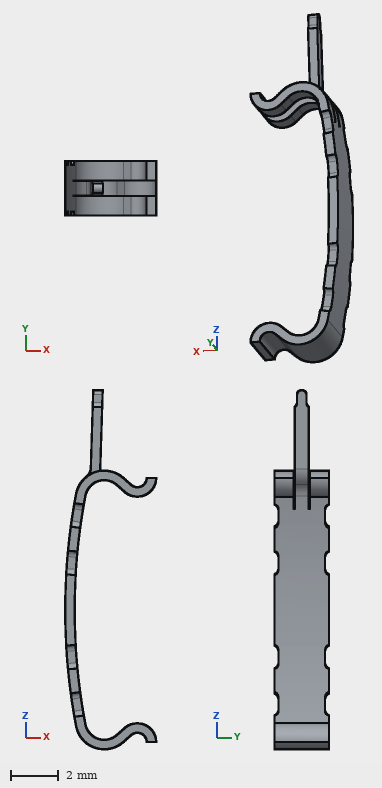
import cadquery as cq
import math

thickness = 0.41
width = 2.3
half_height = 5.86
depth = 3.84
total_height = 15.1

bend_outer = 1.21
bend_inner = bend_outer - thickness
bend_x = 1.65
bend_z = half_height - bend_outer
lip_inner = 0.4
lip_outer = lip_inner + thickness
lip_x = depth - lip_outer
lip_z = 5.55

back_outer = (bend_x**2 + bend_z**2 - bend_outer**2) / (2 * (bend_x - bend_outer))
back_inner = back_outer - thickness
join_angle = 180 - math.degrees(math.asin(bend_z / (back_outer - bend_outer)))

center_gap = math.hypot(lip_x - bend_x, lip_z - bend_z)
web_angle = math.degrees(
    math.atan2(lip_z - bend_z, lip_x - bend_x)
    + math.acos((bend_outer + lip_inner) / center_gap)
)

pin_width = 0.6
pin_tip_width = 0.41
pin_top = total_height - half_height
pin_lean = 1.8
pin_bend_radius = 0.45
pin_bend_angle = 128
shoulder_start = 0.71
shoulder_end = 0.53
tip_round = 0.2
shoulder_step = (pin_width - pin_tip_width) / 2
shoulder_length = shoulder_start - shoulder_end
shoulder_radius = (shoulder_length**2 + shoulder_step**2) / (2 * shoulder_step)
slot_width = 0.66
slot_bottom = 4.26
foot_overlap = 0.3

notch_length = 1.0
notch_depth = 0.17
notch_flare = 0.24
notch_corner = (notch_flare**2 + notch_depth**2) / (2 * notch_depth)
notch_heights = (2.0, 4.0)


def polar(center, radius, angle):
    a = math.radians(angle)
    return (center[0] + radius * math.cos(a), center[1] + radius * math.sin(a))


def arc(sketch, center, radius, start, end):
    """Continue the outline along an arc from the start angle to the end angle."""
    return sketch.threePointArc(polar(center, radius, (start + end) / 2), polar(center, radius, end))


back_center = (back_outer, 0)
bend_center = (bend_x, bend_z)
lip_center = (lip_x, lip_z)
lip_start = web_angle + 180


def centered_plate(outline, plate_width):
    return outline.close().extrude(plate_width / 2, both=True)


def half_spring():
    """Upper half of the spring, from the middle of the back to the lip end."""
    outline = cq.Workplane("XZ").moveTo(0, 0)
    outline = arc(outline, back_center, back_outer, 180, join_angle)
    outline = arc(outline, bend_center, bend_outer, join_angle, web_angle)
    outline = outline.lineTo(*polar(lip_center, lip_inner, lip_start))
    outline = arc(outline, lip_center, lip_inner, lip_start, 360)
    outline = outline.lineTo(lip_x + lip_outer, lip_z)
    outline = arc(outline, lip_center, lip_outer, 360, lip_start)
    outline = outline.lineTo(*polar(bend_center, bend_inner, web_angle))
    outline = arc(outline, bend_center, bend_inner, web_angle, join_angle)
    outline = arc(outline, back_center, back_inner, join_angle, 180)
    return centered_plate(outline, width)


def edge_notches():
    """Flared notch cutters on both edges, square to the bowed back."""
    cutters = cq.Workplane("XY")
    half = notch_length / 2
    floor = half - notch_flare
    edge = width / 2
    base = edge - notch_depth
    for height in notch_heights:
        tilt = math.degrees(math.asin(height / back_outer))
        cutter = (
            cq.Workplane("YZ", origin=(-thickness, 0, 0))
            .moveTo(edge, -half)
            .radiusArc((base, -floor), notch_corner)
            .lineTo(base, floor)
            .radiusArc((edge, half), notch_corner)
            .close()
            .extrude(3 * thickness)
        )
        for angle in (tilt, -tilt):
            turned = cutter.rotate((back_outer, 0, 0), (back_outer, 1, 0), angle)
            cutters = cutters.add(turned).add(turned.mirror("XZ"))
    return cutters.combine()


def pin_slot():
    """Slot through the middle of the top hook, leaving the pin strip free."""
    slot_height = pin_top - slot_bottom
    return cq.Workplane("XY", origin=(0, 0, slot_bottom)).box(
        2 * depth, slot_width, slot_height, centered=(True, True, False)
    )


def pin_strip():
    """Middle strip that overlaps the back, follows the bend, then turns up into the pin."""
    pivot = polar(bend_center, bend_outer + pin_bend_radius, pin_bend_angle)
    bend_in = pin_bend_angle - 180
    pin_outer = pin_bend_radius + thickness
    left = polar(pivot, pin_bend_radius, -pin_lean)
    right = polar(pivot, pin_outer, -pin_lean)
    slope = math.tan(math.radians(pin_lean))
    foot_angle = 180 - math.degrees(math.asin(slot_bottom / back_outer))
    foot = foot_angle + math.degrees(foot_overlap / back_outer)

    outline = cq.Workplane("XZ").moveTo(*polar(back_center, back_outer, foot))
    outline = arc(outline, back_center, back_outer, foot, join_angle)
    outline = arc(outline, bend_center, bend_outer, join_angle, pin_bend_angle)
    outline = arc(outline, pivot, pin_bend_radius, bend_in, -pin_lean)
    outline = outline.lineTo(left[0] + slope * (pin_top - left[1]), pin_top)
    outline = outline.lineTo(right[0] + slope * (pin_top - right[1]), pin_top)
    outline = outline.lineTo(*right)
    outline = arc(outline, pivot, pin_outer, -pin_lean, bend_in)
    outline = arc(outline, bend_center, bend_inner, pin_bend_angle, join_angle)
    outline = arc(outline, back_center, back_inner, join_angle, foot)
    return centered_plate(outline, pin_width).intersect(pin_face())


def pin_face():
    """Width envelope of the pin: concave shoulders and a rounded tip."""
    wide = pin_width / 2
    narrow = pin_tip_width / 2
    tip_base = pin_top - tip_round
    return (
        cq.Workplane("YZ")
        .moveTo(-wide, 0)
        .lineTo(-wide, pin_top - shoulder_start)
        .radiusArc((-narrow, pin_top - shoulder_end), -shoulder_radius)
        .lineTo(-narrow, tip_base)
        .threePointArc((0, pin_top), (narrow, tip_base))
        .lineTo(narrow, pin_top - shoulder_end)
        .radiusArc((wide, pin_top - shoulder_start), -shoulder_radius)
        .lineTo(wide, 0)
        .close()
        .extrude(depth)
    )


upper = half_spring()
spring = upper.union(upper.mirror("XY"))
result = spring.cut(pin_slot()).union(pin_strip()).cut(edge_notches())